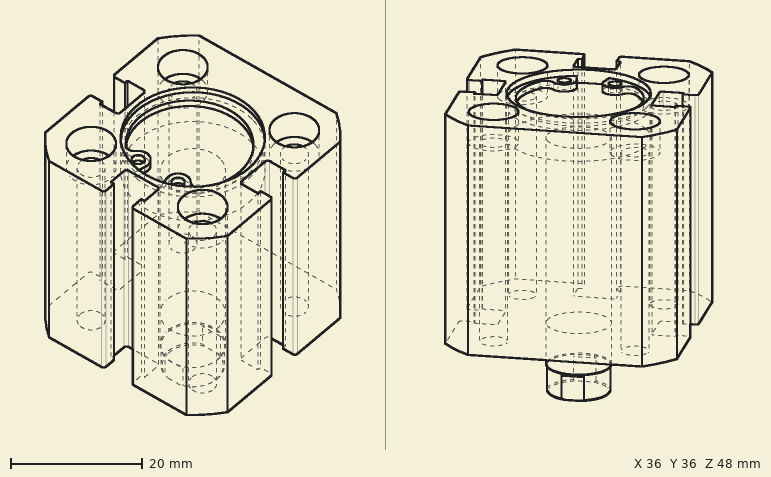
import cadquery as cq
import math

BODY_SIDE = 36.0
BODY_HEIGHT = 37.0
CORNER_RADIUS = 22.5

SLOT_MOUTH_WIDTH = 5.4
SLOT_MOUTH_DEPTH = 2.4
SLOT_HEAD_WIDTH = 6.6
SLOT_DEPTH = 6.05
SLOT_HEAD_FILLET = 0.5
SLOT_LIP_FILLET = 0.5
SLOT_ANGLES = (0, 180, 270)

HOLE_PITCH = 22.0
HOLE_DIAMETER = 4.25
COUNTERBORE_DIAMETER = 7.6
COUNTERBORE_DEPTH = 5.0

BORE_RADIUS = 11.0
RING_DEPTH = 1.0
RING_THICKNESS = 1.15
COVER_THICKNESS = 5.0

RING_INNER_RADIUS = 9.75
RING_INNER_OFFSET = 0.75
LUG_X = 3.95
LUG_Y = -8.3
LUG_RADIUS = 1.9
LUG_HOLE_DIAMETER = 2.0
LUG_FILLET = 1.35

ROD_RADIUS = 5.0
ROD_LENGTH_OUT = 11.0
ROD_SHANK_LENGTH = 6.6
NECK_RADIUS = 4.85
NECK_FLAT_OFFSET = 4.5
TIP_CHAMFER = 0.2

RING_TOP = BODY_HEIGHT - RING_DEPTH
COVER_TOP = RING_TOP - RING_THICKNESS
COVER_BOTTOM = COVER_TOP - COVER_THICKNESS
SHOULDER_Z = -ROD_SHANK_LENGTH
TIP_Z = -ROD_LENGTH_OUT


def disc(radius, bottom, top):
    return cq.Workplane("XY").workplane(offset=bottom).circle(radius).extrude(top - bottom)


def slot_cutter():
    """T-slot in the +X face, over the full height of the housing."""
    face_x = BODY_SIDE / 2
    head_depth = SLOT_DEPTH - SLOT_MOUTH_DEPTH
    head = (
        cq.Workplane("XY")
        .center(face_x - SLOT_DEPTH + head_depth / 2, 0)
        .rect(head_depth, SLOT_HEAD_WIDTH)
        .extrude(BODY_HEIGHT)
        .edges("|Z and <X")
        .fillet(SLOT_HEAD_FILLET)
    )

    half_mouth = SLOT_MOUTH_WIDTH / 2
    half_flare = half_mouth + SLOT_LIP_FILLET
    lip_start_x = face_x - SLOT_LIP_FILLET
    inner_x = face_x - SLOT_DEPTH + head_depth / 2
    mouth = (
        cq.Workplane("XY")
        .moveTo(inner_x, -half_mouth)
        .lineTo(lip_start_x, -half_mouth)
        .radiusArc((face_x, -half_flare), SLOT_LIP_FILLET)
        .lineTo(face_x, half_flare)
        .radiusArc((lip_start_x, half_mouth), SLOT_LIP_FILLET)
        .lineTo(inner_x, half_mouth)
        .close()
        .extrude(BODY_HEIGHT)
    )
    return head.union(mouth)


def make_housing():
    block = cq.Workplane("XY").rect(BODY_SIDE, BODY_SIDE).extrude(BODY_HEIGHT)
    body = block.intersect(disc(CORNER_RADIUS, 0, BODY_HEIGHT))

    cutter = slot_cutter()
    for angle in SLOT_ANGLES:
        body = body.cut(cutter.rotate((0, 0, 0), (0, 0, 1), angle))

    body = (
        body.faces(">Z")
        .workplane(origin=(0, 0, BODY_HEIGHT))
        .rect(HOLE_PITCH, HOLE_PITCH, forConstruction=True)
        .vertices()
        .cboreHole(HOLE_DIAMETER, COUNTERBORE_DIAMETER, COUNTERBORE_DEPTH)
    )

    body = body.cut(disc(BORE_RADIUS, COVER_BOTTOM, BODY_HEIGHT))
    return body.cut(disc(ROD_RADIUS, 0, COVER_BOTTOM))


def make_cover():
    return disc(BORE_RADIUS, COVER_BOTTOM, COVER_TOP)


def toward(start, end, distance):
    """Point at the given distance from start on the line to end."""
    span = math.dist(start, end)
    return tuple(s + (e - s) * distance / span for s, e in zip(start, end))


def mirrored(point):
    return (-point[0], point[1])


def make_snap_ring():
    """C-shaped ring, drawn from its right half and mirrored about the YZ plane."""
    lug = (LUG_X, LUG_Y)
    inner_center = (0, -RING_INNER_OFFSET)

    lug_distance = math.hypot(LUG_X, LUG_Y)
    gap_angle = math.atan2(LUG_Y, LUG_X) - math.asin(LUG_RADIUS / lug_distance)
    end_direction = (math.cos(gap_angle), math.sin(gap_angle))
    tangent_distance = math.sqrt(lug_distance**2 - LUG_RADIUS**2)
    end_outer = tuple(BORE_RADIUS * c for c in end_direction)
    end_inner = tuple(tangent_distance * c for c in end_direction)

    from_lug = LUG_RADIUS + LUG_FILLET
    from_inner = RING_INNER_RADIUS - LUG_FILLET
    span = math.dist(lug, inner_center)
    along = (from_lug**2 - from_inner**2 + span**2) / (2 * span)
    across = math.sqrt(from_lug**2 - along**2)
    ux = (inner_center[0] - LUG_X) / span
    uy = (inner_center[1] - LUG_Y) / span
    fillet_center = (LUG_X + along * ux + across * uy, LUG_Y + along * uy - across * ux)
    fillet_start = toward(lug, fillet_center, LUG_RADIUS)
    fillet_end = toward(inner_center, fillet_center, RING_INNER_RADIUS)

    lug_chord_middle = tuple((a + b) / 2 for a, b in zip(end_inner, fillet_start))
    lug_middle = toward(lug, lug_chord_middle, LUG_RADIUS)
    fillet_chord_middle = tuple((a + b) / 2 for a, b in zip(fillet_start, fillet_end))
    fillet_middle = toward(fillet_center, fillet_chord_middle, LUG_FILLET)
    inner_top = (0, RING_INNER_RADIUS - RING_INNER_OFFSET)

    ring = (
        cq.Workplane("XY")
        .workplane(offset=COVER_TOP)
        .moveTo(*end_outer)
        .lineTo(*end_inner)
        .threePointArc(lug_middle, fillet_start)
        .threePointArc(fillet_middle, fillet_end)
        .threePointArc(inner_top, mirrored(fillet_end))
        .threePointArc(mirrored(fillet_middle), mirrored(fillet_start))
        .threePointArc(mirrored(lug_middle), mirrored(end_inner))
        .lineTo(*mirrored(end_outer))
        .threePointArc((0, BORE_RADIUS), end_outer)
        .close()
        .extrude(RING_THICKNESS)
    )
    lug_holes = (
        cq.Workplane("XY")
        .workplane(offset=COVER_TOP)
        .pushPoints([lug, mirrored(lug)])
        .circle(LUG_HOLE_DIAMETER / 2)
        .extrude(RING_THICKNESS)
    )
    return ring.cut(lug_holes)


def make_rod():
    """Round rod from the cover down, with a shouldered neck and two wrench flats."""
    rod = (
        cq.Workplane("XZ")
        .moveTo(0, COVER_BOTTOM)
        .lineTo(ROD_RADIUS, COVER_BOTTOM)
        .lineTo(ROD_RADIUS, SHOULDER_Z)
        .lineTo(NECK_RADIUS, SHOULDER_Z - (ROD_RADIUS - NECK_RADIUS))
        .lineTo(NECK_RADIUS, TIP_Z + TIP_CHAMFER)
        .lineTo(NECK_RADIUS - TIP_CHAMFER, TIP_Z)
        .lineTo(0, TIP_Z)
        .close()
        .revolve(360, (0, 0, 0), (0, 1, 0))
    )

    flat_cutter = (
        cq.Workplane("YZ")
        .moveTo(ROD_RADIUS, SHOULDER_Z)
        .lineTo(NECK_FLAT_OFFSET, SHOULDER_Z - (ROD_RADIUS - NECK_FLAT_OFFSET))
        .lineTo(NECK_FLAT_OFFSET, TIP_Z)
        .lineTo(ROD_RADIUS, TIP_Z)
        .close()
        .extrude(ROD_RADIUS, both=True)
    )
    return rod.cut(flat_cutter).cut(flat_cutter.mirror("XZ"))


housing = make_housing()
cover = make_cover()
snap_ring = make_snap_ring()
rod = make_rod()

result = cq.Compound.makeCompound([housing.val(), cover.val(), snap_ring.val(), rod.val()])